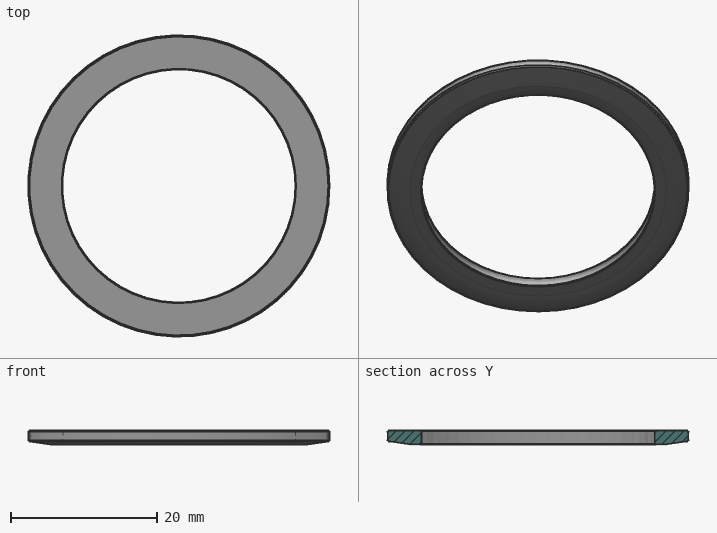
import cadquery as cq

outer_radius = 20.58
hole_radius = 15.9
thickness = 1.95
edge_chamfer = 0.2
hole_chamfer = 0.12
seat_radius = 17.5
rim_thickness = 1.52

rim_bottom = thickness - rim_thickness
chamfered_radius = outer_radius - edge_chamfer
hole_edge_radius = hole_radius + hole_chamfer

section = [
    (hole_edge_radius, thickness),
    (chamfered_radius, thickness),
    (outer_radius, thickness - edge_chamfer),
    (outer_radius, rim_bottom + edge_chamfer),
    (chamfered_radius, rim_bottom),
    (seat_radius, 0),
    (hole_edge_radius, 0),
    (hole_radius, hole_chamfer),
    (hole_radius, thickness - hole_chamfer),
]

result = cq.Workplane("XZ").polyline(section).close().revolve(360, (0, 0, 0), (0, 1, 0))